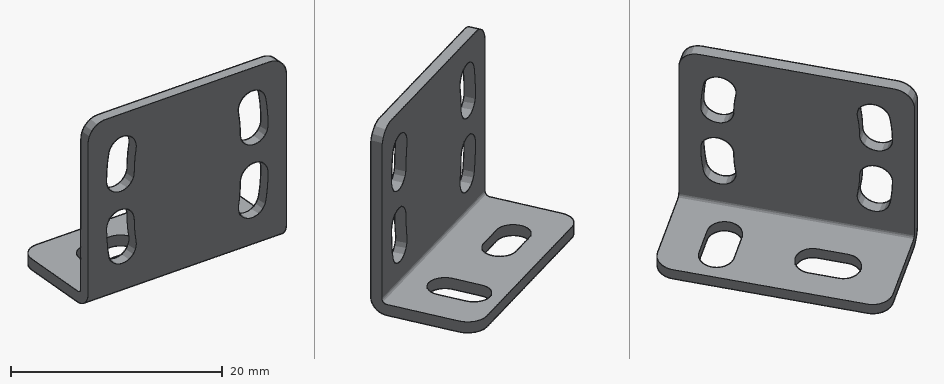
import cadquery as cq
import math

base_length = 11.2
bracket_width = 23.0
bracket_height = 20.0
sheet_thickness = 1.2
inner_bend_radius = 0.5
outer_bend_radius = inner_bend_radius + sheet_thickness
corner_radius = 2.0

base_slot_width = 3.4
base_slot_length = 6.4
base_slot_x = 4.5
cross_slot_y = 6.0
lengthwise_slot_y = -4.5

curved_slot_width = 3.2
pivot_spacing_y = 15.5
pivot_spacing_z = 5.2
pivot_mid_z = 10.6
swing_angle = 10.0


def make_bent_sheet():
    """L-shaped sheet with a rounded bend and rounded free corners."""
    inner_x = base_length - sheet_thickness
    profile = [
        (0, 0),
        (base_length, 0),
        (base_length, bracket_height),
        (inner_x, bracket_height),
        (inner_x, sheet_thickness),
        (0, sheet_thickness),
    ]
    sheet = (
        cq.Workplane("XZ")
        .polyline(profile)
        .close()
        .extrude(bracket_width / 2, both=True)
    )
    inner_bend = cq.selectors.NearestToPointSelector((inner_x, 0, sheet_thickness))
    sheet = sheet.edges(inner_bend).fillet(inner_bend_radius)
    outer_bend = cq.selectors.NearestToPointSelector((base_length, 0, 0))
    sheet = sheet.edges(outer_bend).fillet(outer_bend_radius)
    sheet = sheet.faces("<X").edges("|Z").fillet(corner_radius)
    return sheet.faces(">Z").edges("|X").fillet(corner_radius)


def base_slot_cutter(y, angle):
    """Straight slot through the base, turned by angle from the X axis."""
    return (
        cq.Workplane("XY")
        .center(base_slot_x, y)
        .slot2D(base_slot_length, base_slot_width, angle)
        .extrude(sheet_thickness)
    )


def curved_slot_cutter(side_y, side_z):
    """Arc slot through the upright, on the given side (+1 or -1) in Y and Z."""
    pivot_y = -side_y * pivot_spacing_y / 2
    pivot_z = pivot_mid_z + side_z * pivot_spacing_z / 2
    end_radius = curved_slot_width / 2
    inner_radius = pivot_spacing_y - end_radius
    outer_radius = pivot_spacing_y + end_radius

    def swung_point(radius, degrees, past_end=0):
        """Point at a swing angle, shifted past_end along the swing direction."""
        swing = math.radians(degrees)
        across = radius * math.cos(swing) - past_end * math.sin(swing)
        along = radius * math.sin(swing) + past_end * math.cos(swing)
        return (pivot_y + side_y * across, pivot_z + side_z * along)

    half_swing = swing_angle / 2
    return (
        cq.Workplane("YZ", origin=(base_length - sheet_thickness, 0, 0))
        .moveTo(*swung_point(inner_radius, 0))
        .threePointArc(swung_point(inner_radius, half_swing), swung_point(inner_radius, swing_angle))
        .threePointArc(
            swung_point(pivot_spacing_y, swing_angle, end_radius),
            swung_point(outer_radius, swing_angle),
        )
        .threePointArc(swung_point(outer_radius, half_swing), swung_point(outer_radius, 0))
        .threePointArc(swung_point(pivot_spacing_y, 0, -end_radius), swung_point(inner_radius, 0))
        .close()
        .extrude(sheet_thickness)
    )


result = make_bent_sheet()
result = result.cut(base_slot_cutter(cross_slot_y, 0))
result = result.cut(base_slot_cutter(lengthwise_slot_y, 90))
for side_y in (-1, 1):
    for side_z in (-1, 1):
        result = result.cut(curved_slot_cutter(side_y, side_z))